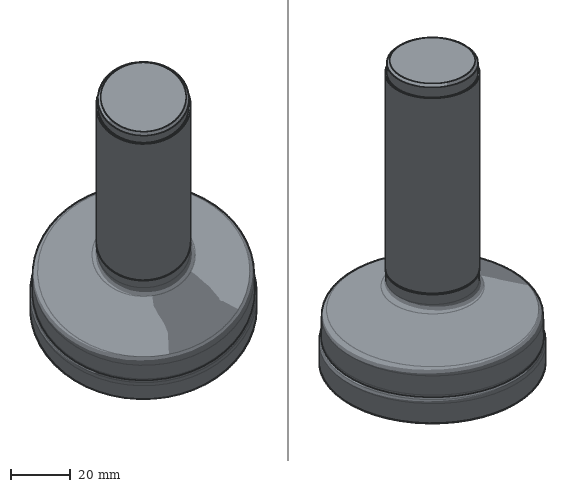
import cadquery as cq
import math

total_height = 120.6

rim_radius = 38.1
rim_chamfer_width = 0.4
rim_chamfer_height = 0.5
rim_height = 8.3
rim_round = 2.7
shoulder_tilt = math.radians(30)

band_radius = 37.4
band_top = 11.2
wall_top = 18.8
wall_draft = math.radians(1)
cone_angle = math.radians(27)
cone_round = 3.0

neck_radius = 15.7
stem_radius = 15.9
stem_bottom = 38.0
stem_chamfer_height = 0.7
stem_top = 115.7
tip_radius = 15.3
tip_chamfer = 1.0

rim_center = (rim_radius - rim_round, rim_height)


def arc_point(center, radius, angle):
    """Point (r, z) on a circle, the angle measured up from the outward direction."""
    center_r, center_z = center
    return (center_r + radius * math.cos(angle), center_z + radius * math.sin(angle))


rim_round_end = arc_point(rim_center, rim_round, shoulder_tilt)
base_top = rim_round_end[1] + (rim_round_end[0] - band_radius) / math.tan(shoulder_tilt)


def turn(section):
    """Solid of revolution about Z from a half section drawn in X and Z."""
    return section.close().revolve(360, (0, 0, 0), (0, 1, 0))


def make_base():
    """Base disc with a flat top that carries the housing."""
    rim_round_mid = arc_point(rim_center, rim_round, shoulder_tilt / 2)
    section = (
        cq.Workplane("XZ")
        .lineTo(rim_radius - rim_chamfer_width, 0)
        .lineTo(rim_radius, rim_chamfer_height)
        .lineTo(rim_radius, rim_height)
        .threePointArc(rim_round_mid, rim_round_end)
        .lineTo(band_radius, base_top)
        .lineTo(0, base_top)
    )
    return turn(section)


def make_housing():
    """Conical housing and its stem, standing on the base."""
    wall_top_radius = band_radius - (wall_top - band_top) * math.tan(wall_draft)
    cone_normal = math.pi / 2 - cone_angle
    outer_center = (
        wall_top_radius - cone_round * math.cos(wall_draft),
        wall_top - cone_round * math.sin(wall_draft),
    )
    outer_mid = arc_point(outer_center, cone_round, (wall_draft + cone_normal) / 2)
    cone_start = arc_point(outer_center, cone_round, cone_normal)

    cone_end_radius = neck_radius + cone_round * (1 - math.cos(cone_normal))
    cone_end_z = cone_start[1] + (cone_start[0] - cone_end_radius) * math.tan(cone_angle)
    neck_bottom = cone_end_z + cone_round * math.sin(cone_normal)
    inner_center = (neck_radius + cone_round, neck_bottom)
    inner_mid = arc_point(inner_center, -cone_round, cone_normal / 2)

    section = (
        cq.Workplane("XZ")
        .moveTo(0, base_top)
        .lineTo(band_radius, base_top)
        .lineTo(band_radius, band_top)
        .lineTo(wall_top_radius, wall_top)
        .threePointArc(outer_mid, cone_start)
        .lineTo(cone_end_radius, cone_end_z)
        .threePointArc(inner_mid, (neck_radius, neck_bottom))
        .lineTo(neck_radius, stem_bottom - stem_chamfer_height)
        .lineTo(stem_radius, stem_bottom)
        .lineTo(stem_radius, stem_top)
        .lineTo(tip_radius, stem_top)
        .lineTo(tip_radius, total_height - tip_chamfer)
        .lineTo(tip_radius - tip_chamfer, total_height)
        .lineTo(0, total_height)
    )
    return turn(section)


base = make_base()
housing = make_housing()

result = cq.Compound.makeCompound([base.val(), housing.val()])